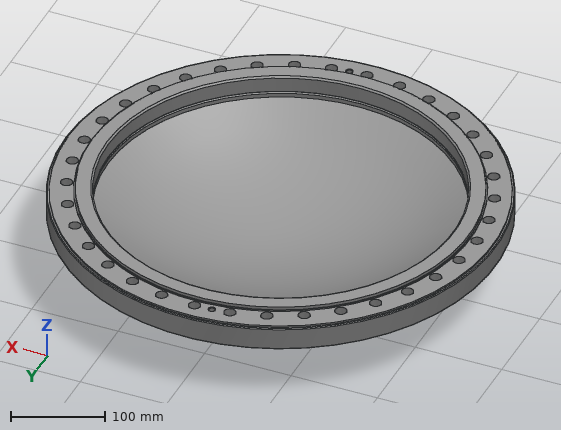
import cadquery as cq
import math

flange_diameter = 497.0
flange_thickness = 29.0
raised_face_height = 4.5
raised_face_diameter = 435.5
lip_diameter = 439.0
lip_height = 1.5
lip_slope_angle = 20.0
bore_diameter = 398.5
bore_chamfer = 2.0
top_rim_chamfer = 1.0
bottom_rim_chamfer = 1.5
top_rim_step_diameter = 491.0
top_rim_step_height = 2.0

groove_bottom_height = 11.5
groove_width = 2.5

bolt_count = 36
bolt_circle_diameter = 454.5
bolt_hole_diameter = 13.0
jack_hole_diameter = 6.5
jack_countersink_diameter = 8.0
jack_countersink_angle = 90.0
jack_hole_count = 2
jack_offset_angle = 90.0 + 180.0 / bolt_count

dome_depth = 52.0
dome_outer_radius = 389.5
dome_wall = 3.5

flange_radius = flange_diameter / 2
raised_face_radius = raised_face_diameter / 2
lip_radius = lip_diameter / 2
lip_top = flange_thickness + lip_height
lip_slope_drop = (lip_radius - raised_face_radius) * math.tan(math.radians(lip_slope_angle))
top_rim_step_radius = top_rim_step_diameter / 2
top_rim_ledge_height = flange_thickness - top_rim_step_height
bore_radius = bore_diameter / 2
total_height = flange_thickness + raised_face_height
dome_inner_radius = dome_outer_radius - dome_wall
dome_center_z = dome_outer_radius - dome_depth


def flange_ring():
    """Ring with a raised face inside a sharp lip, chamfered rims and a grooved bore."""
    groove_radius = groove_width / 2
    groove_top_height = groove_bottom_height + groove_width
    groove_deepest = (bore_radius + groove_radius, groove_bottom_height + groove_radius)
    profile = (
        cq.Workplane("XZ")
        .moveTo(bore_radius, 0)
        .lineTo(flange_radius - bottom_rim_chamfer, 0)
        .lineTo(flange_radius, bottom_rim_chamfer)
        .lineTo(flange_radius, top_rim_ledge_height - top_rim_chamfer)
        .lineTo(flange_radius - top_rim_chamfer, top_rim_ledge_height)
        .lineTo(top_rim_step_radius, top_rim_ledge_height)
        .lineTo(top_rim_step_radius, flange_thickness)
        .lineTo(lip_radius, flange_thickness)
        .lineTo(lip_radius, lip_top)
        .lineTo(raised_face_radius, lip_top - lip_slope_drop)
        .lineTo(raised_face_radius, total_height)
        .lineTo(bore_radius + bore_chamfer, total_height)
        .lineTo(bore_radius, total_height - bore_chamfer)
        .lineTo(bore_radius, groove_top_height)
        .threePointArc(groove_deepest, (bore_radius, groove_bottom_height))
        .close()
    )
    return profile.revolve(360, (0, 0, 0), (0, 1, 0))


def flange_face_points(count, start_angle):
    """Workplane on the outer flange face with points spaced around the bolt circle."""
    return (
        cq.Workplane("XY", origin=(0, 0, flange_thickness))
        .polarArray(bolt_circle_diameter / 2, start_angle, 360, count)
    )


def bolt_holes():
    """Cutters for the plain through holes."""
    return flange_face_points(bolt_count, 0).circle(bolt_hole_diameter / 2).extrude(-flange_thickness)


def jack_holes():
    """Cutters for the small through holes, countersunk at the flange face."""
    hole_radius = jack_hole_diameter / 2
    countersink_radius = jack_countersink_diameter / 2
    half_angle = math.radians(jack_countersink_angle / 2)
    countersink_depth = (countersink_radius - hole_radius) / math.tan(half_angle)
    drills = (
        flange_face_points(jack_hole_count, jack_offset_angle)
        .circle(hole_radius)
        .extrude(-flange_thickness)
    )
    cone = cq.Solid.makeCone(
        countersink_radius, hole_radius, countersink_depth, cq.Vector(0, 0, 0), cq.Vector(0, 0, -1)
    )
    cones = flange_face_points(jack_hole_count, jack_offset_angle).eachpoint(cone, combine=False)
    return drills.union(cones)


def make_flange():
    return flange_ring().cut(bolt_holes()).cut(jack_holes())


def sphere_height(radius, distance):
    """Height of the dome's lower spherical surface at a distance from the axis."""
    return dome_center_z - math.sqrt(radius ** 2 - distance ** 2)


def make_dome():
    """Spherical shell whose cylindrical edge fits the flange bore."""
    mid = bore_radius / 2
    profile = (
        cq.Workplane("XZ")
        .moveTo(0, sphere_height(dome_outer_radius, 0))
        .threePointArc(
            (mid, sphere_height(dome_outer_radius, mid)),
            (bore_radius, sphere_height(dome_outer_radius, bore_radius)),
        )
        .lineTo(bore_radius, sphere_height(dome_inner_radius, bore_radius))
        .threePointArc(
            (mid, sphere_height(dome_inner_radius, mid)),
            (0, sphere_height(dome_inner_radius, 0)),
        )
        .close()
    )
    return profile.revolve(360, (0, 0, 0), (0, 1, 0))


flange = make_flange()
dome = make_dome()
result = cq.Compound.makeCompound([flange.solids().val(), dome.val()])